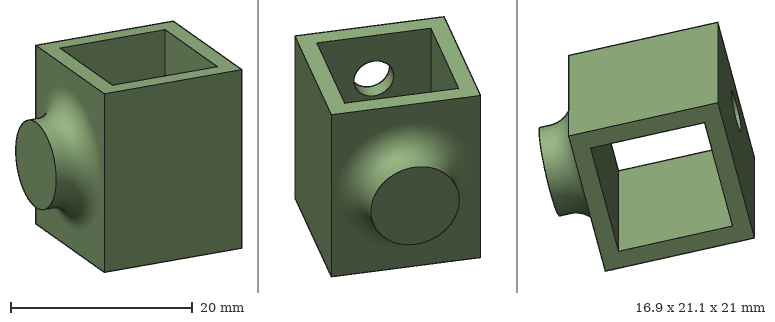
import cadquery as cq

tube_width = 16.9
tube_height = 21.0
bore_width = 12.9
wall = (tube_width - bore_width) / 2

overall_depth = 21.1
boss_length = overall_depth - tube_width
boss_radius = 10.0 / 2
flare_radius = 3.0

hole_diameter = 4.5
hole_height = 4.94

front_y = -tube_width / 2
back_y = tube_width / 2


def make_tube():
    outer = cq.Workplane("XY").rect(tube_width, tube_width)
    return outer.rect(bore_width, bore_width).extrude(tube_height / 2, both=True)


def make_boss():
    """Revolve the half profile of the flared boss around the Y axis."""
    tip_y = front_y - boss_length
    flare_end_y = front_y - flare_radius
    arc_centre_x = boss_radius + flare_radius
    arc_offset = flare_radius * 0.5 ** 0.5
    arc_middle = (arc_centre_x - arc_offset, flare_end_y + arc_offset)
    root_y = front_y + wall / 2
    profile = (
        cq.Workplane("XY")
        .moveTo(0, tip_y)
        .lineTo(boss_radius, tip_y)
        .lineTo(boss_radius, flare_end_y)
        .threePointArc(arc_middle, (arc_centre_x, front_y))
        .lineTo(arc_centre_x, root_y)
        .lineTo(0, root_y)
        .close()
    )
    return profile.revolve(360, (0, 0, 0), (0, 1, 0))


def make_back_hole():
    overshoot = wall / 2
    start_y = back_y - wall - overshoot
    cut_length = wall + 2 * overshoot
    return (
        cq.Workplane("XZ", origin=(0, start_y, hole_height))
        .circle(hole_diameter / 2)
        .extrude(-cut_length)
    )


result = make_tube().union(make_boss()).cut(make_back_hole())